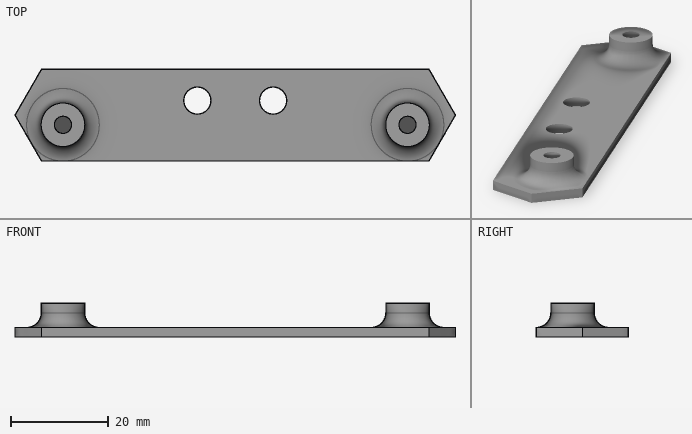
import cadquery as cq
import math

length = 90.8
width = 19.0
thickness = 2.0
end_angle = 60.0
point_length = width / 2 / math.tan(math.radians(end_angle))

total_height = 7.0
boss_diameter = 9.0
boss_hole_diameter = 3.5
boss_spacing = 71.0
flare_radius = 3.0
boss_radius = boss_diameter / 2
flare_outer_radius = boss_radius + flare_radius
boss_y = flare_outer_radius - width / 2

hole_diameter = 5.5
hole_spacing = 15.6
hole_y = 3.0


def make_plate():
    shoulder_x = length / 2 - point_length
    outline = [
        (-length / 2, 0),
        (-shoulder_x, -width / 2),
        (shoulder_x, -width / 2),
        (length / 2, 0),
        (shoulder_x, width / 2),
        (-shoulder_x, width / 2),
    ]
    return cq.Workplane("XY").polyline(outline).close().extrude(thickness)


def make_boss(x):
    """Revolved boss standing on the bottom plane, with a flared foot on the plate."""
    arc_offset = flare_radius * (1 - math.sqrt(0.5))
    profile = (
        cq.Workplane("XZ")
        .lineTo(flare_outer_radius, 0)
        .lineTo(flare_outer_radius, thickness)
        .threePointArc(
            (boss_radius + arc_offset, thickness + arc_offset),
            (boss_radius, thickness + flare_radius),
        )
        .lineTo(boss_radius, total_height)
        .lineTo(0, total_height)
        .close()
    )
    return profile.revolve(360, (0, 0, 0), (0, 1, 0)).translate((x, boss_y, 0))


result = make_plate()
boss_positions = [(-boss_spacing / 2, boss_y), (boss_spacing / 2, boss_y)]
for boss_x, _ in boss_positions:
    result = result.union(make_boss(boss_x))

boss_holes = (
    cq.Workplane("XY", origin=(0, 0, thickness))
    .pushPoints(boss_positions)
    .circle(boss_hole_diameter / 2)
    .extrude(total_height - thickness)
)
result = result.cut(boss_holes)

plate_holes = (
    cq.Workplane("XY")
    .pushPoints([(-hole_spacing / 2, hole_y), (hole_spacing / 2, hole_y)])
    .circle(hole_diameter / 2)
    .extrude(thickness)
)
result = result.cut(plate_holes)